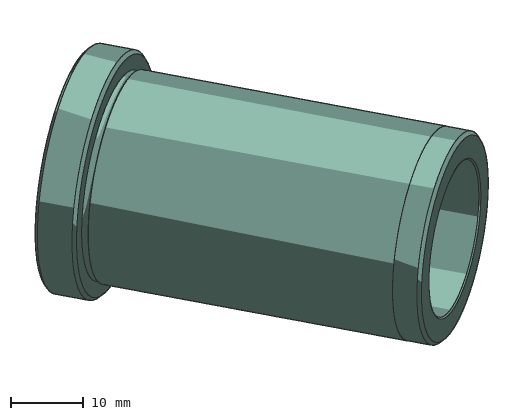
import cadquery as cq

overall_length = 55.0
head_diameter = 35.0
head_length = 6.0
body_diameter = 30.0
bore_diameter = 22.0
edge_chamfer = 0.5
bore_chamfer = 0.2

undercut_width = 1.0
undercut_edge_depth = 0.2
undercut_depth = 0.45

lead_in_length = 4.0
lead_in_relief = 0.03

head_radius = head_diameter / 2
body_radius = body_diameter / 2
lead_in_radius = body_radius - lead_in_relief
bore_radius = bore_diameter / 2

head_start = -overall_length / 2
free_end = overall_length / 2
head_end = head_start + head_length
body_start = head_end + undercut_width
lead_in_start = free_end - lead_in_length

half_section = (
    cq.Workplane("XY")
    .moveTo(head_start, bore_radius + bore_chamfer)
    .lineTo(head_start, head_radius - edge_chamfer)
    .lineTo(head_start + edge_chamfer, head_radius)
    .lineTo(head_end - edge_chamfer, head_radius)
    .lineTo(head_end, head_radius - edge_chamfer)
    .lineTo(head_end, body_radius - undercut_edge_depth)
    .threePointArc(
        (head_end + undercut_width / 2, body_radius - undercut_depth),
        (body_start, body_radius - undercut_edge_depth),
    )
    .lineTo(body_start, body_radius)
    .lineTo(lead_in_start, body_radius)
    .lineTo(lead_in_start, lead_in_radius)
    .lineTo(free_end - edge_chamfer, lead_in_radius)
    .lineTo(free_end, lead_in_radius - edge_chamfer)
    .lineTo(free_end, bore_radius + bore_chamfer)
    .lineTo(free_end - bore_chamfer, bore_radius)
    .lineTo(head_start + bore_chamfer, bore_radius)
    .close()
)

result = half_section.revolve(360, (0, 0, 0), (1, 0, 0))